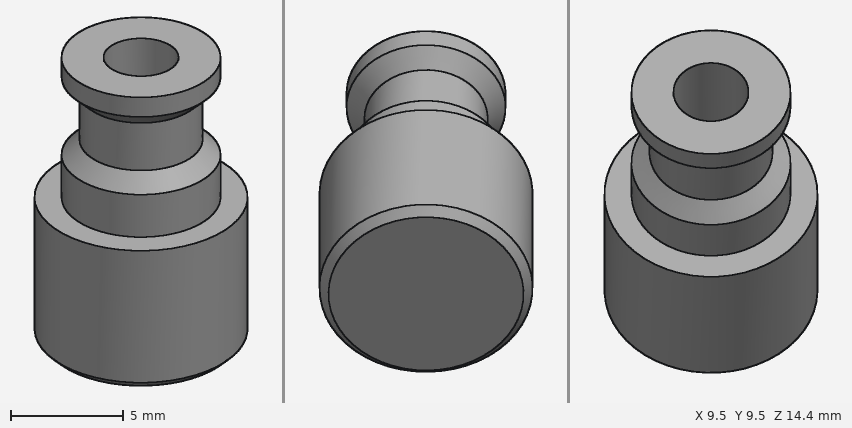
import cadquery as cq

total_height = 14.42
body_diameter = 9.5
collar_diameter = 7.1
neck_diameter = 5.5
bore_diameter = 3.35

body_height = 7.21
bottom_chamfer = 0.4
collar_height = 2.19
neck_height = 2.45
rim_height = 1.01

bore_depth = total_height - body_height

body_radius = body_diameter / 2
collar_radius = collar_diameter / 2
neck_radius = neck_diameter / 2

collar_top = body_height + collar_height
rim_bottom = total_height - rim_height
flank_height = (rim_bottom - collar_top - neck_height) / 2
neck_bottom = collar_top + flank_height
neck_top = neck_bottom + neck_height


def make_turned_body():
    """Revolve the half profile (radius, height) about the Z axis."""
    profile = [
        (0, 0),
        (body_radius - bottom_chamfer, 0),
        (body_radius, bottom_chamfer),
        (body_radius, body_height),
        (collar_radius, body_height),
        (collar_radius, collar_top),
        (neck_radius, neck_bottom),
        (neck_radius, neck_top),
        (collar_radius, rim_bottom),
        (collar_radius, total_height),
        (0, total_height),
    ]
    return cq.Workplane("XZ").polyline(profile).close().revolve(360, (0, 0, 0), (0, 1, 0))


def make_bore():
    """Flat-bottomed cylinder sunk from the top face."""
    bore_floor = total_height - bore_depth
    return cq.Workplane("XY").workplane(offset=bore_floor).circle(bore_diameter / 2).extrude(bore_depth)


result = make_turned_body().cut(make_bore())